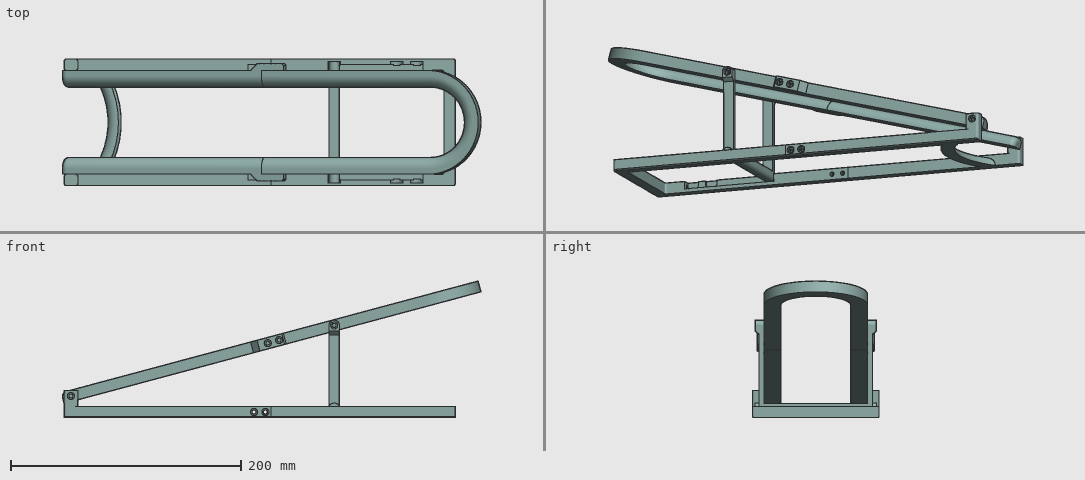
import cadquery as cq
import math

base_half_width = 55.07
bar_width = 10.0
base_height = 9.8
base_front = 1.0
base_rear = 341.0
bottom_chamfer = 1.0
corner_fillet = 1.8
post_fillet = 2.0
post_length = 12.0
post_height = 23.5

lap_start = 161.0
lap_end = 180.5
lap_holes_x = (166.0, 176.0)

tie_center_x = -34.0
tie_front_radius = 73.5
tie_width = 11.5
tie_height = 7.5
tie_back_chamfer = 2.5

head_diameter = 6.0
shank_diameter = 3.5
head_depth = 3.5
blind_depth = 5.0

hinge_x = 7.1
hinge_z = 19.0
tilt = 15.0
rail_half_width = 45.0
rail_width = 14.72
rail_height = 9.8
rail_end = -7.45
rail_end_fillet = 4.7
rail_seam = 172.5
bend_start = 322.5
strap_outer = 51.0
strap_start = 163.0
strap_end = 192.3
strap_holes = (177.0, 187.2)
strap_chamfer = 1.5

stand_x = 235.75
stand_width = 9.0
stand_outer = 49.5
stand_knob_outer = 52.7
stand_pivot_z = 80.15
head_drop = 4.9
cross_top = 12.5
foot_z = 7.5
foot_radius = 5.0
notch_radius = 5.5

recess_start = stand_x - notch_radius
recess_end = 313.0
notches_x = (stand_x, 290.0, 307.5)

base_inner = base_half_width - bar_width
lap_y = base_half_width - bar_width / 2
recess_floor = foot_z - stand_width / 2
rail_top = rail_height / 2
rail_bottom = -rail_height / 2
stand_left = stand_x - stand_width / 2
stand_right = stand_x + stand_width / 2
SIDES = (1, -1)


def box(x0, x1, y0, y1, z0, z1):
    """Box between two corners; the Y limits may come in either order."""
    y_low = min(y0, y1)
    size_y = abs(y1 - y0)
    return cq.Workplane("XY").box(x1 - x0, size_y, z1 - z0, centered=False).translate((x0, y_low, z0))


def cross_cylinder(x, z, diameter, y0, y1):
    """Cylinder along Y between two Y values, in either order."""
    start = cq.Vector(x, y0, z)
    direction = cq.Vector(0, y1 - y0, 0)
    return cq.Workplane(cq.Solid.makeCylinder(diameter / 2, abs(y1 - y0), start, direction))


def screw_hole(x, z, side, outer, inner):
    """Counterbored hole from an outer face inward to the given Y."""
    head = cross_cylinder(x, z, head_diameter, side * outer, side * (outer - head_depth))
    shank = cross_cylinder(x, z, shank_diameter, side * outer, side * inner)
    return head.union(shank)


def tilt_up(body):
    """Turn a body from the hinge line's own axes to its place above the base."""
    return body.rotate((0, 0, 0), (0, 1, 0), -tilt).translate((hinge_x, 0, hinge_z))


def hinge_line_position(x):
    """Distance from the hinge, along the tilted hinge line, of the point at a given X."""
    return (x - hinge_x) / math.cos(math.radians(tilt))


def base_arm_front(side):
    outer = side * base_half_width
    post = box(base_front, base_front + post_length, side * base_inner, outer, 0, post_height)
    post = post.edges("|Z").fillet(post_fillet)
    arm = box(base_front + post_length / 2, lap_start, side * base_inner, outer, 0, base_height)
    tongue = box(lap_start, lap_end, side * lap_y, outer, 0, base_height)
    arm = arm.union(tongue).union(post)
    return arm


def tie():
    """Curved bar between the arms: quarter-round in front, flat on top, chamfered behind."""
    back_radius = tie_front_radius + tie_width
    quarter = tie_height * math.sqrt(0.5)
    ring = (
        cq.Workplane("XZ")
        .moveTo(tie_front_radius, 0)
        .threePointArc(
            (tie_front_radius + tie_height - quarter, quarter),
            (tie_front_radius + tie_height, tie_height),
        )
        .lineTo(back_radius - tie_back_chamfer, tie_height)
        .lineTo(back_radius, tie_height - tie_back_chamfer)
        .lineTo(back_radius, 0)
        .close()
        .revolve(360, (0, 0, 0), (0, 1, 0))
        .translate((tie_center_x, 0, 0))
    )
    between_arms = box(0, tie_center_x + back_radius, -base_inner, base_inner, 0, tie_height)
    return ring.intersect(between_arms)


def bottom_bevel(x0, x1):
    """Outer envelope of the base, bevelled along its lower edges and cut at two X values."""
    hull = box(base_front, base_rear, -base_half_width, base_half_width, 0, post_height)
    hull = hull.faces("<Z").edges("|X").chamfer(bottom_chamfer)
    return hull.intersect(box(x0, x1, -base_half_width, base_half_width, 0, post_height))


def make_base_front():
    body = tie()
    for side in SIDES:
        body = body.union(base_arm_front(side))
    body = body.intersect(bottom_bevel(base_front, lap_end))
    for side in SIDES:
        body = body.cut(screw_hole(hinge_x, hinge_z, side, base_half_width, base_inner))
        for x in lap_holes_x:
            body = body.cut(screw_hole(x, base_height / 2, side, base_half_width, lap_y))
    return body


def make_base_rear():
    body = box(lap_start, base_rear, -base_half_width, base_half_width, 0, base_height)
    body = body.edges("|Z and >X").fillet(corner_fillet)
    body = body.intersect(bottom_bevel(lap_start, base_rear))
    opening = box(lap_start, base_rear - bar_width, -base_inner, base_inner, 0, base_height)
    body = body.cut(opening.edges("|Z and >X").fillet(corner_fillet))
    for side in SIDES:
        body = body.cut(box(lap_start, lap_end, side * lap_y, side * base_half_width, 0, base_height))
        for x in lap_holes_x:
            body = body.cut(
                cross_cylinder(x, base_height / 2, shank_diameter, side * base_inner, side * lap_y)
            )
        body = body.cut(
            box(recess_start, recess_end, side * base_inner, side * lap_y, recess_floor, base_height)
        )
        for x in notches_x:
            y_limits = (side * stand_outer, side * stand_knob_outer)
            round_seat = cross_cylinder(x, foot_z, 2 * notch_radius, *y_limits)
            open_top = box(x - notch_radius, x + notch_radius, *y_limits, foot_z, base_height)
            body = body.cut(round_seat).cut(open_top)
    return body


def rail_profile():
    """Rail section in the YZ plane on the +Y side, with a quarter-round upper inner edge."""
    inner = rail_half_width - rail_width
    round_radius = rail_top - rail_bottom
    crown_y = inner + round_radius
    leg = round_radius * math.sqrt(0.5)
    return (
        cq.Workplane("YZ")
        .moveTo(rail_half_width, rail_bottom)
        .lineTo(rail_half_width, rail_top)
        .lineTo(crown_y, rail_top)
        .threePointArc((crown_y - leg, rail_bottom + leg), (inner, rail_bottom))
        .close()
    )


def straight_rail(start, end):
    return rail_profile().extrude(end - start).translate((start, 0, 0))


def strap():
    """Strap on the rail's outer side that runs past the seam onto the rear loop."""
    ramp = strap_outer - rail_half_width
    return (
        cq.Workplane("XY")
        .workplane(offset=rail_bottom)
        .moveTo(strap_start, rail_half_width)
        .lineTo(strap_start + ramp, strap_outer)
        .lineTo(strap_end - strap_chamfer, strap_outer)
        .lineTo(strap_end, strap_outer - strap_chamfer)
        .lineTo(strap_end, rail_half_width)
        .close()
        .extrude(rail_top - rail_bottom)
    )


def make_rail_front(side):
    rail = straight_rail(rail_end, rail_seam)
    rounded_edges = cq.selectors.BoxSelector(
        (rail_end - 3.5, 0, rail_bottom + 0.05), (rail_end + 3.5, rail_half_width - 0.05, rail_top + 3.5)
    )
    rail = rail.faces("<X").edges(rounded_edges).fillet(rail_end_fillet)
    rail = rail.union(strap())
    rail = rail.cut(cross_cylinder(0, 0, shank_diameter, rail_half_width, rail_half_width - blind_depth))
    for u in strap_holes:
        rail = rail.cut(screw_hole(u, 0, 1, strap_outer, rail_half_width))
    return tilt_up(rail if side > 0 else rail.mirror("XZ"))


def make_loop():
    rail = straight_rail(rail_seam, bend_start)
    pivot = hinge_line_position(stand_x)
    for u in (*strap_holes, pivot):
        rail = rail.cut(cross_cylinder(u, 0, shank_diameter, rail_half_width, rail_half_width - blind_depth))
    bend = rail_profile().revolve(180, (0, 0, 0), (0, -1, 0)).translate((bend_start, 0, 0))
    return tilt_up(bend.union(rail).union(rail.mirror("XZ")))


def stand_leg(side):
    leg = box(stand_left, stand_right, side * rail_half_width, side * stand_outer, foot_z, stand_pivot_z)
    knob_step = stand_knob_outer - stand_outer
    head = (
        cq.Workplane("YZ")
        .moveTo(side * rail_half_width, stand_pivot_z)
        .lineTo(side * stand_knob_outer, stand_pivot_z)
        .lineTo(side * stand_knob_outer, stand_pivot_z - head_drop)
        .lineTo(side * stand_outer, stand_pivot_z - head_drop - knob_step)
        .lineTo(side * rail_half_width, stand_pivot_z - head_drop - knob_step)
        .close()
        .extrude(stand_width)
        .translate((stand_left, 0, 0))
    )
    cap = cross_cylinder(
        stand_x, stand_pivot_z, stand_width, side * rail_half_width, side * stand_knob_outer
    )
    foot = cross_cylinder(stand_x, foot_z, 2 * foot_radius, side * stand_outer, side * stand_knob_outer)
    leg = leg.union(head).union(cap).union(foot)
    return leg.cut(screw_hole(stand_x, stand_pivot_z, side, stand_knob_outer, rail_half_width))


def make_stand():
    body = box(stand_left, stand_right, -stand_outer, stand_outer, foot_z, cross_top)
    body = body.union(cross_cylinder(stand_x, foot_z, stand_width, -stand_outer, stand_outer))
    for side in SIDES:
        body = body.union(stand_leg(side))
    return body


base_front_frame = make_base_front()
base_rear_frame = make_base_rear()
front_rails = [make_rail_front(side) for side in SIDES]
rear_loop = make_loop()
stand = make_stand()

result = cq.Compound.makeCompound(
    [
        base_front_frame.val(),
        base_rear_frame.val(),
        *[rail.val() for rail in front_rails],
        rear_loop.val(),
        stand.val(),
    ]
)